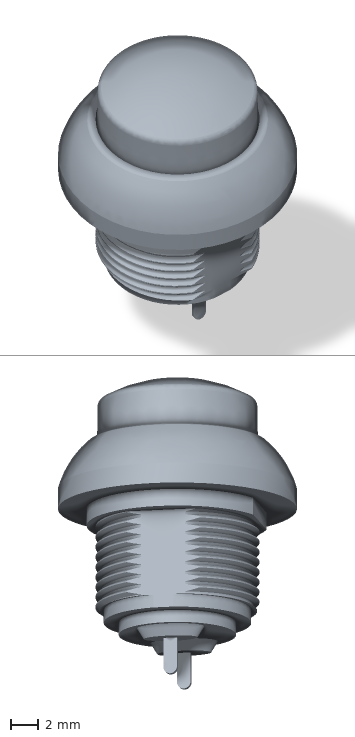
import cadquery as cq
import math


bezel_diameter = 17.5
bezel_top = 4.97
bezel_rim_height = 1.5
bezel_shoulder_diameter = 13.0
bezel_curve_radius = 7.0
bezel_lip_fillet = 0.4
cap_well_diameter = 12.0
cap_well_floor = 0.0

collar_diameter = 13.3
collar_bottom = -1.25
collar_flat_offset = 6.15

thread_diameter = 12.0
thread_pitch = 0.75
thread_bottom = -7.6
barrel_flat_width = 10.7
sharp_v_depth = thread_pitch * math.sqrt(3) / 2
thread_root_radius = thread_diameter / 2 - sharp_v_depth * 5 / 8
groove_root_width = thread_pitch / 4
groove_flank_slope = math.tan(math.radians(30))
groove_overcut = 0.05
thread_start_angle = 170

tail_ring_diameter = 10.8
tail_ring_bottom = -8.55
nose_diameter = 8.6
nose_bottom = -9.45

pin_spacing = 5.08
pin_thickness = 0.4
pin_width = 1.0
pin_bottom = -12.94
foot_bottom = -10.26
foot_length = 5.0
foot_width = 2.75
foot_inset = 0.5

cap_top = 9.6
cap_base_diameter = 11.8
cap_shoulder_diameter = 11.7
cap_dome_radius = 11.3
cap_edge_fillet = 0.5


def cylinder(diameter, bottom, top):
    return cq.Workplane("XY").workplane(offset=bottom).circle(diameter / 2).extrude(top - bottom)


def make_bezel():
    """Flange with a bulging shoulder and a well for the cap."""
    outer_radius = bezel_diameter / 2
    shoulder_radius = bezel_shoulder_diameter / 2
    rise = bezel_top - bezel_rim_height
    run = outer_radius - shoulder_radius
    chord = math.hypot(run, rise)
    bulge = bezel_curve_radius - math.sqrt(bezel_curve_radius**2 - (chord / 2) ** 2)
    curve_middle = (
        (outer_radius + shoulder_radius) / 2 + bulge * rise / chord,
        (bezel_rim_height + bezel_top) / 2 + bulge * run / chord,
    )
    bezel = (
        cq.Workplane("XZ")
        .lineTo(outer_radius, 0)
        .lineTo(outer_radius, bezel_rim_height)
        .threePointArc(curve_middle, (shoulder_radius, bezel_top))
        .lineTo(0, bezel_top)
        .close()
        .revolve(360, (0, 0, 0), (0, 1, 0))
        .faces(">Z")
        .edges()
        .fillet(bezel_lip_fillet)
    )
    return bezel.cut(cylinder(cap_well_diameter, cap_well_floor, bezel_top))


def make_collar():
    collar = cylinder(collar_diameter, collar_bottom, 0)
    keep = cq.Workplane("XY").box(
        collar_diameter, collar_diameter, -2 * collar_bottom
    ).translate((0, collar_diameter / 2 - collar_flat_offset, 0))
    return collar.intersect(keep)


def between_barrel_flats(round_body):
    """Trim a round body to the two flats facing -X and +X."""
    flats = cq.Workplane("XY").box(barrel_flat_width, thread_diameter, -2 * tail_ring_bottom)
    return round_body.intersect(flats)


def make_thread():
    """Flat-sided thread, cut by a helical groove that runs out past both ends."""
    blank = cylinder(thread_diameter, thread_bottom, collar_bottom)
    blank = blank.rotate((0, 0, 0), (0, 0, 1), 90)
    groove_start = thread_bottom - thread_pitch
    groove_height = collar_bottom - thread_bottom + 2 * thread_pitch
    mouth_radius = thread_diameter / 2 + groove_overcut
    root_half = groove_root_width / 2
    mouth_half = root_half + (mouth_radius - thread_root_radius) * groove_flank_slope
    helix = cq.Wire.makeHelix(thread_pitch, groove_height, thread_root_radius)
    groove = (
        cq.Workplane("XZ")
        .polyline([
            (thread_root_radius, -root_half),
            (mouth_radius, -mouth_half),
            (mouth_radius, mouth_half),
            (thread_root_radius, root_half),
        ])
        .close()
        .sweep(cq.Workplane(helix), isFrenet=True)
        .translate((0, 0, groove_start))
    )
    thread = blank.cut(groove).rotate((0, 0, 0), (0, 0, 1), thread_start_angle)
    return between_barrel_flats(thread)


def make_tail_ring():
    return between_barrel_flats(cylinder(tail_ring_diameter, tail_ring_bottom, thread_bottom))


def make_pin(x):
    """Flat pin with a round tip, and its tapered oval foot."""
    foot = (
        cq.Workplane("XY")
        .workplane(offset=nose_bottom)
        .ellipse(foot_width / 2, foot_length / 2)
        .workplane(offset=foot_bottom - nose_bottom)
        .ellipse(foot_width / 2 - foot_inset, foot_length / 2 - foot_inset)
        .loft(ruled=True)
    )
    half_width = pin_width / 2
    tip_start = pin_bottom + half_width
    blade = (
        cq.Workplane("YZ")
        .moveTo(-half_width, nose_bottom)
        .lineTo(-half_width, tip_start)
        .threePointArc((0, pin_bottom), (half_width, tip_start))
        .lineTo(half_width, nose_bottom)
        .close()
        .extrude(pin_thickness / 2, both=True)
    )
    return foot.union(blade).translate((x, 0, 0))


def make_housing():
    housing = make_bezel().union(make_collar()).union(make_thread()).union(make_tail_ring())
    housing = housing.union(cylinder(nose_diameter, nose_bottom, tail_ring_bottom))
    for side in (-1, 1):
        housing = housing.union(make_pin(side * pin_spacing / 2))
    return housing


def make_cap():
    """Slightly tapered cap with a domed top, standing on the floor of the well."""
    base_radius = cap_base_diameter / 2
    shoulder_radius = cap_shoulder_diameter / 2
    dome_center = cap_top - cap_dome_radius

    def dome_height(radius):
        return dome_center + math.sqrt(cap_dome_radius**2 - radius**2)

    shoulder_height = dome_height(shoulder_radius)
    return (
        cq.Workplane("XZ")
        .moveTo(0, cap_well_floor)
        .lineTo(base_radius, cap_well_floor)
        .lineTo(base_radius, bezel_top)
        .lineTo(shoulder_radius, shoulder_height)
        .threePointArc((shoulder_radius / 2, dome_height(shoulder_radius / 2)), (0, cap_top))
        .close()
        .revolve(360, (0, 0, 0), (0, 1, 0))
        .edges(cq.selectors.NearestToPointSelector((0, 0, shoulder_height)))
        .fillet(cap_edge_fillet)
    )


housing = make_housing()
cap = make_cap()
result = cq.Compound.makeCompound([housing.val(), cap.val()])